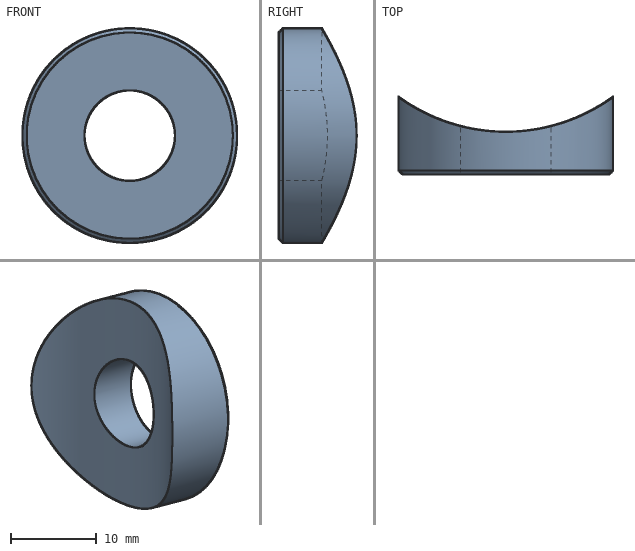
import cadquery as cq
import math

outer_diameter = 25.0
bore_diameter = 10.5
chamfer_size = 0.5
tube_diameter = 42.4
center_thickness = 5.0

outer_radius = outer_diameter / 2
tube_radius = tube_diameter / 2
saddle_depth = tube_radius - math.sqrt(tube_radius**2 - outer_radius**2)
blank_thickness = center_thickness + saddle_depth


def make_blank():
    """Round disc along +Y with a chamfered rim on its flat face."""
    disc = cq.Workplane("XZ").circle(outer_radius).extrude(-blank_thickness)
    return disc.faces("<Y").edges().chamfer(chamfer_size)


def make_bore():
    """Through hole along the disc axis."""
    return cq.Workplane("XZ").circle(bore_diameter / 2).extrude(-blank_thickness)


def make_tube():
    """Tube envelope, parallel to Z, that hollows the back of the disc."""
    tube_center_y = center_thickness + tube_radius
    return (
        cq.Workplane("XY")
        .center(0, tube_center_y)
        .circle(tube_radius)
        .extrude(outer_diameter, both=True)
    )


result = make_blank().cut(make_bore()).cut(make_tube())